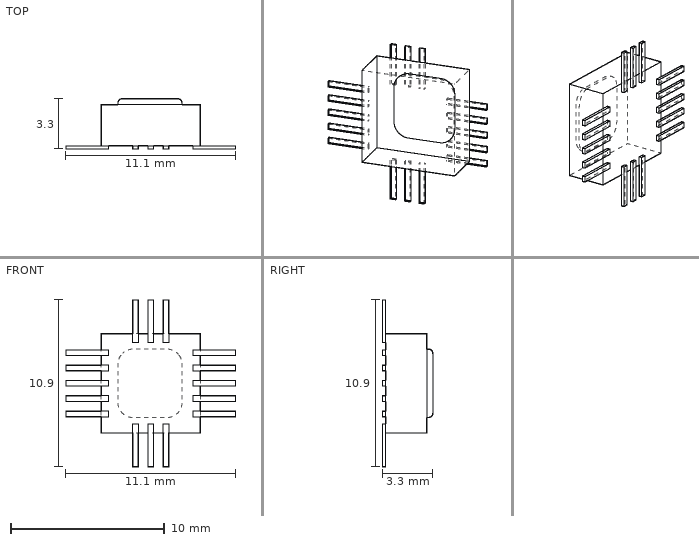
import cadquery as cq

body_side = 6.5
body_depth = 2.7

lead_length = 2.8
lead_width = 0.38
lead_thickness = 0.2
lead_pitch = 1.0
span_x = 11.1
span_z = 10.91
side_row_count = 5
end_row_count = 3

pad_width = 4.2
pad_height = 4.48
pad_depth = 0.4
pad_corner_radius = 1.0
pad_edge_radius = 0.3
pad_offset_x = -0.05


def row_positions(count):
    """Lead centres along a row, spaced evenly about zero."""
    return [(i - (count - 1) / 2) * lead_pitch for i in range(count)]


def front_lead(x, z, size_x, size_z):
    """Lead lying on the front face, centred at (x, z)."""
    lead = cq.Workplane("XY").box(size_x, lead_thickness, size_z)
    return lead.translate((x, -lead_thickness / 2, z))


def make_body():
    """Square block with its front face on Y = 0."""
    body = cq.Workplane("XY").box(body_side, body_depth, body_side)
    return body.translate((0, body_depth / 2, 0))


def make_pad():
    """Pad with rounded corners and a rounded rear rim."""
    pad = cq.Workplane("XY").box(pad_width, pad_depth, pad_height)
    pad = pad.edges("|Y").fillet(pad_corner_radius)
    pad = pad.faces(">Y").edges().fillet(pad_edge_radius)
    return pad.translate((pad_offset_x, body_depth + pad_depth / 2, 0))


def add_leads(part):
    """Two side rows of leads along X and two end rows along Z."""
    side_centre = (span_x - lead_length) / 2
    end_centre = (span_z - lead_length) / 2
    for side in (-1, 1):
        for z in row_positions(side_row_count):
            part = part.union(front_lead(side * side_centre, z, lead_length, lead_width))
        for x in row_positions(end_row_count):
            part = part.union(front_lead(x, side * end_centre, lead_width, lead_length))
    return part


result = add_leads(make_body().union(make_pad()))